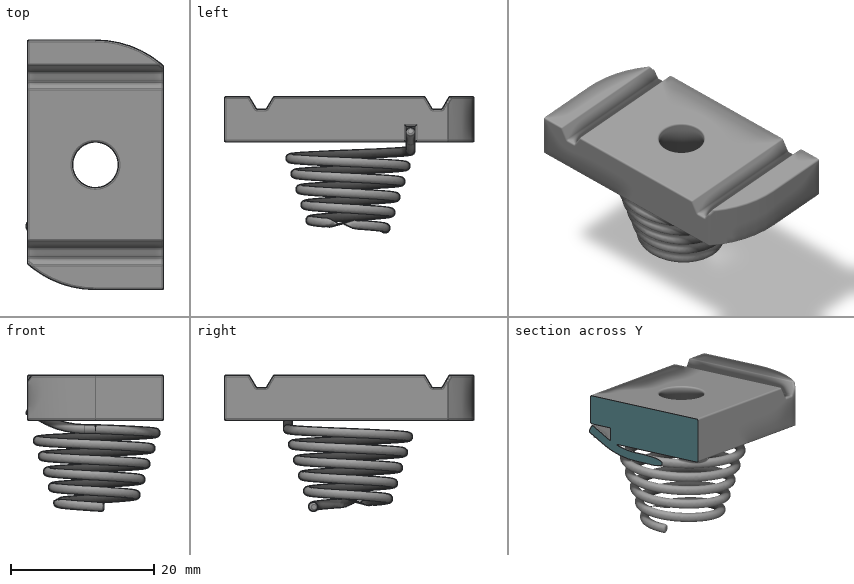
import math

import cadquery as cq

PLATE_WIDTH = 19.05
PLATE_LENGTH = 34.92
PLATE_HEIGHT = 6.35
CORNER_RADIUS = 14.29
EDGE_FILLET = 0.25
HOLE_DIAMETER = 6.35

GROOVE_END_DISTANCE = 5.17
GROOVE_TOP_WIDTH = 3.4
GROOVE_FLOOR_WIDTH = 1.36
GROOVE_DEPTH = 1.75

WIRE_RADIUS = 0.635
SPRING_TOP_RADIUS = 8.58
SPRING_TOP_Z = -1.19
SPRING_PITCH = 2.168
RADIUS_LOSS_PER_TURN = 0.7
FULL_TURNS = 5
EXTRA_TURN_ANGLE = 12.8
SPRING_TURNS = FULL_TURNS + EXTRA_TURN_ANGLE / 360

LEAD_STRAIGHT = 1.5
LEAD_BEND_RADIUS = 11.6
LEAD_BEND_ANGLE = 28.0
LEAD_TAIL = 2.91

SLOT_WIDTH = 2 * WIRE_RADIUS
SLOT_HEIGHT = 2.19
SLOT_DEPTH = 3.5

TOLERANCE = 1e-3

HALF_WIDTH = PLATE_WIDTH / 2
HALF_LENGTH = PLATE_LENGTH / 2


def plate_blank():
    """Rectangular plate with two opposite corners swept off by arcs tangent to the ends."""
    arc_drop = CORNER_RADIUS - math.sqrt(CORNER_RADIUS**2 - HALF_WIDTH**2)
    side_end = HALF_LENGTH - arc_drop
    return (
        cq.Workplane("XY")
        .moveTo(-HALF_WIDTH, HALF_LENGTH)
        .lineTo(0, HALF_LENGTH)
        .radiusArc((HALF_WIDTH, side_end), CORNER_RADIUS)
        .lineTo(HALF_WIDTH, -HALF_LENGTH)
        .lineTo(0, -HALF_LENGTH)
        .radiusArc((-HALF_WIDTH, -side_end), CORNER_RADIUS)
        .close()
        .extrude(PLATE_HEIGHT)
    )


def groove(y_centre):
    """Trapezoidal cutter running the full plate width."""
    floor_z = PLATE_HEIGHT - GROOVE_DEPTH
    return (
        cq.Workplane("YZ", origin=(-HALF_WIDTH, y_centre, 0))
        .moveTo(-GROOVE_TOP_WIDTH / 2, PLATE_HEIGHT)
        .lineTo(-GROOVE_FLOOR_WIDTH / 2, floor_z)
        .lineTo(GROOVE_FLOOR_WIDTH / 2, floor_z)
        .lineTo(GROOVE_TOP_WIDTH / 2, PLATE_HEIGHT)
        .close()
        .extrude(PLATE_WIDTH)
    )


def wire_slot():
    """Box cutter, open to the -X side and to the bottom."""
    slot_mouth = cq.Workplane("XY", origin=(-HALF_WIDTH, -SPRING_TOP_RADIUS, 0))
    return slot_mouth.box(SLOT_DEPTH, SLOT_WIDTH, SLOT_HEIGHT, centered=(False, True, False))


def is_rounded(edge):
    """True for outer edges; false for tangent seams and for edges inside the wire slot."""
    centre = edge.Center()
    at_mid_width = abs(centre.x) < TOLERANCE
    at_mid_height = abs(centre.z - PLATE_HEIGHT / 2) < TOLERANCE
    is_tangent_seam = at_mid_width and at_mid_height
    in_slot = (
        -HALF_WIDTH + TOLERANCE < centre.x < -HALF_WIDTH + SLOT_DEPTH + TOLERANCE
        and abs(centre.y + SPRING_TOP_RADIUS) < SLOT_WIDTH / 2 + TOLERANCE
        and centre.z < SLOT_HEIGHT + TOLERANCE
    )
    return not (is_tangent_seam or in_slot)


def make_plate():
    """Plate with grooves, wire slot, rounded outer edges and the central hole."""
    plate = plate_blank().cut(wire_slot())
    for side in (-1, 1):
        plate = plate.cut(groove(side * (HALF_LENGTH - GROOVE_END_DISTANCE)))
    rounded_edges = [edge for edge in plate.edges().vals() if is_rounded(edge)]
    plate = plate.newObject(rounded_edges).fillet(EDGE_FILLET)
    hole = cq.Workplane("XY").circle(HOLE_DIAMETER / 2).extrude(PLATE_HEIGHT)
    plate = plate.cut(hole)
    hole_rim = plate.faces(">Z").edges("%CIRCLE")
    return hole_rim.fillet(EDGE_FILLET)


def make_coils():
    """Coils narrowing downwards from the start point at (0, -SPRING_TOP_RADIUS)."""
    height = SPRING_PITCH * SPRING_TURNS
    end_radius = SPRING_TOP_RADIUS - RADIUS_LOSS_PER_TURN * SPRING_TURNS
    cone_angle = math.degrees(math.atan2(RADIUS_LOSS_PER_TURN, SPRING_PITCH))
    slant_pitch = math.hypot(RADIUS_LOSS_PER_TURN, SPRING_PITCH)
    end_angle = 360 * SPRING_TURNS - 90
    helix = cq.Wire.makeHelix(
        slant_pitch,
        slant_pitch * SPRING_TURNS,
        end_radius,
        angle=cone_angle,
        lefthand=True,
    )
    path = helix.rotate(cq.Vector(0, 0, 0), cq.Vector(0, 0, 1), end_angle)
    path = path.translate(cq.Vector(0, 0, SPRING_TOP_Z - height))
    bottom_end = path.startPoint()
    section = cq.Plane(origin=bottom_end, normal=path.tangentAt(0))
    coils = cq.Workplane(section).circle(WIRE_RADIUS).sweep(cq.Workplane(obj=path), isFrenet=True)
    end_face = coils.faces(cq.selectors.NearestToPointSelector(bottom_end.toTuple()))
    return end_face.edges().fillet(EDGE_FILLET)


def make_lead():
    """Wire from the top coil to the slot: straight towards -X, bent up, straight tail."""
    bend_start = cq.Workplane("YZ", origin=(-LEAD_STRAIGHT, -SPRING_TOP_RADIUS, SPRING_TOP_Z))
    straight = bend_start.circle(WIRE_RADIUS).extrude(LEAD_STRAIGHT)
    bend_axis_start = (0, LEAD_BEND_RADIUS)
    bend_axis_end = (1, LEAD_BEND_RADIUS)
    bend = bend_start.circle(WIRE_RADIUS).revolve(LEAD_BEND_ANGLE, bend_axis_start, bend_axis_end)
    tail = bend.faces("<X").workplane(centerOption="CenterOfMass").circle(WIRE_RADIUS).extrude(LEAD_TAIL)
    tail = tail.faces("<X").edges().fillet(EDGE_FILLET)
    return straight.union(tail)


result = make_plate().union(make_coils()).union(make_lead())